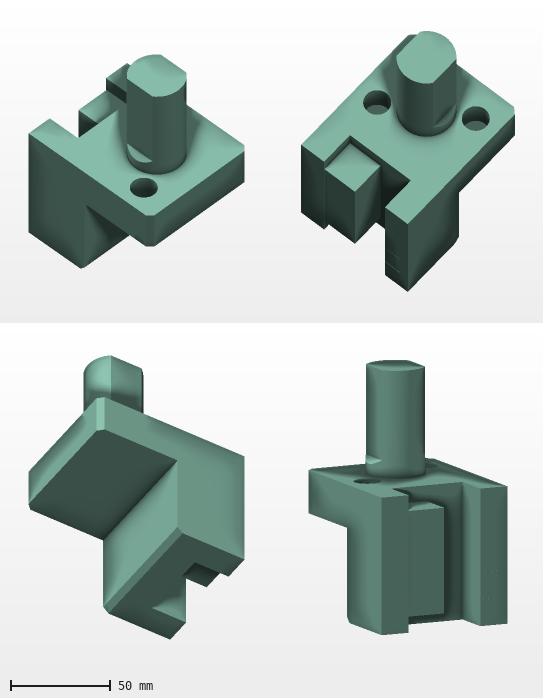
import cadquery as cq

body_length = 85.5
body_width = 70.0
body_height = 70.0
plate_thickness = 22.0
leg_length = 39.5
corner_chamfer = 3.0

slot_width = 40.0
slot_depth = 20.0
key_width = 20.0
key_height = 53.8
key_setback = 0.4

shank_diameter = 30.0
shank_height = 55.0
shank_x = body_length - 30.0
flat_spacing = 24.0
flat_start_height = 9.2

hole_diameter = 14.0
hole_depth = 15.0
hole_offset_x = 12.5
hole_offset_y = 21.8

mark_length = 10.0
mark_depth = 0.2
mark_positions = ((27.5, 0.1), (14.0, 0.4))


def make_body():
    profile = (
        cq.Workplane("XZ")
        .polyline([
            (0, 0),
            (leg_length - corner_chamfer, 0),
            (leg_length, corner_chamfer),
            (leg_length, body_height - plate_thickness),
            (body_length, body_height - plate_thickness),
            (body_length, body_height),
            (0, body_height),
        ])
        .close()
    )
    body = profile.extrude(body_width / 2, both=True)
    return body.edges("|Z and >X").chamfer(corner_chamfer)


def make_slot():
    return cq.Workplane("XY").box(slot_depth, slot_width, body_height, centered=(False, True, False))


def make_key():
    return (
        cq.Workplane("XY")
        .box(slot_depth - key_setback, key_width, key_height, centered=(False, False, True))
        .translate((key_setback, slot_width / 2 - key_width, body_height / 2))
    )


def make_flat_cut(side):
    """Material removed outside one flat, above its sloping run-out."""
    flat_y = flat_spacing / 2
    run_out = shank_diameter / 2 - flat_y
    return (
        cq.Workplane("YZ")
        .polyline([
            (side * flat_y, shank_height),
            (side * flat_y, flat_start_height),
            (side * (flat_y + run_out), flat_start_height - run_out),
            (side * (flat_y + run_out), shank_height),
        ])
        .close()
        .extrude(shank_diameter / 2, both=True)
    )


def make_shank():
    shank = cq.Workplane("XY").circle(shank_diameter / 2).extrude(shank_height)
    for side in (-1, 1):
        shank = shank.cut(make_flat_cut(side))
    return shank.translate((shank_x, 0, body_height))


def make_holes():
    return (
        cq.Workplane("XY", origin=(shank_x, 0, body_height))
        .pushPoints([(-hole_offset_x, hole_offset_y), (hole_offset_x, -hole_offset_y)])
        .circle(hole_diameter / 2)
        .extrude(-hole_depth)
    )


def make_mark(height, line_width):
    """Shallow groove in the left face, running from the slot toward -Y."""
    return (
        cq.Workplane("XY")
        .box(mark_depth, mark_length, line_width, centered=(False, False, True))
        .translate((0, -slot_width / 2 - mark_length, height))
    )


result = make_body().cut(make_slot()).union(make_key()).cut(make_holes()).union(make_shank())
for mark_height, mark_width in mark_positions:
    result = result.cut(make_mark(mark_height, mark_width))